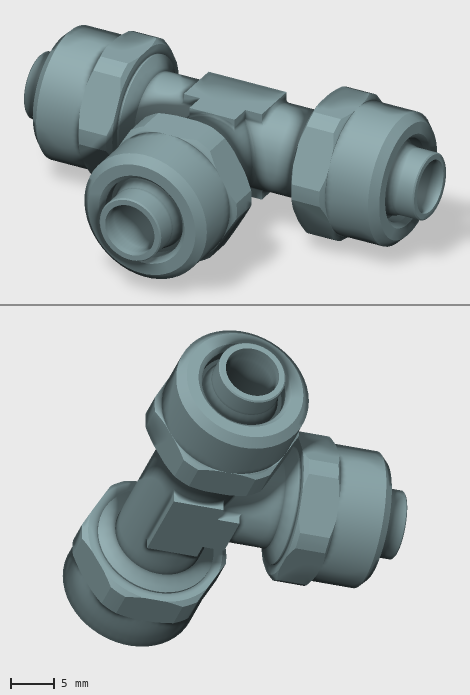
import cadquery as cq
arm_length = 25.5
bore_radius = 3.2

pipe_radius = 5.25
pad_height = 5.6
pad_half_width = 5.1
pad_back = 3.05
pad_stem_end = -5.55
pad_stem_half_width = 2.95
pad_shoulder = -pad_stem_half_width
blend_radius = 0.3

collar_start = 10.35
collar_edge = 11.4
collar_radius = 7.0

nut_start = 11.7
hex_end = 16.15
hex_across_flats = 16.0
hex_corner_radius = 8.7
hex_chamfer_radius = 8.1
hex_chamfer_length = 0.45
flats_up_angle = 30
sleeve_radius = hex_across_flats / 2
sleeve_end = 22.65
sleeve_chamfer = 0.95

recess_floor = 20.6
recess_mouth_radius = 5.6
recess_radius = 5.05
mouth_chamfer = recess_mouth_radius - recess_radius
barb_root_radius = 4.6
spigot_radius = 4.05
spigot_chamfer = 0.15


def turned(points):
    """Revolve an (axial position, radius) outline about the X axis."""
    return cq.Workplane("XY").polyline(points).close().revolve(360, (0, 0, 0), (1, 0, 0))


def along_run_and_branch(arm):
    """Copies of an arm along +X, -X and -Y."""
    return [arm.rotate((0, 0, 0), (0, 0, 1), angle) for angle in (0, 180, -90)]


def make_pad():
    """T-shaped block reaching from the lower pad face to the upper one."""
    return (
        cq.Workplane("XY")
        .moveTo(-pad_half_width, pad_back)
        .lineTo(pad_half_width, pad_back)
        .lineTo(pad_half_width, pad_shoulder)
        .lineTo(pad_stem_half_width, pad_shoulder)
        .lineTo(pad_stem_half_width, pad_stem_end)
        .lineTo(-pad_stem_half_width, pad_stem_end)
        .lineTo(-pad_stem_half_width, pad_shoulder)
        .lineTo(-pad_half_width, pad_shoulder)
        .close()
        .extrude(pad_height, both=True)
    )


def make_body():
    """Run and branch pipes with the two pads, blended where they meet."""
    run = cq.Workplane("YZ").circle(pipe_radius).extrude(collar_start, both=True)
    branch = cq.Workplane("XZ").circle(pipe_radius).extrude(collar_start)
    body = run.union(branch).union(make_pad())
    reach = pad_half_width + blend_radius
    junction = cq.selectors.BoxSelector(
        (-reach, pad_stem_end - blend_radius, -pipe_radius),
        (reach, pad_back + blend_radius, pipe_radius),
    )
    upright_edges = cq.selectors.ParallelDirSelector(cq.Vector(0, 0, 1))
    return body.edges(junction - upright_edges).fillet(blend_radius)


def make_hexagon():
    """Hexagon with flats facing +Z and -Z and its corners turned down."""
    prism = (
        cq.Workplane("YZ", origin=(nut_start, 0, 0))
        .transformed(rotate=(0, 0, flats_up_angle))
        .polygon(6, hex_across_flats, circumscribed=True)
        .extrude(hex_end - nut_start)
    )
    envelope = turned([
        (nut_start, 0),
        (nut_start, hex_chamfer_radius),
        (nut_start + hex_chamfer_length, hex_corner_radius),
        (hex_end - hex_chamfer_length, hex_corner_radius),
        (hex_end, hex_chamfer_radius),
        (hex_end, 0),
    ])
    return prism.intersect(envelope)


def make_arm():
    """Collar, nut and spigot of one arm, along +X."""
    fitting = turned([
        (collar_start, 0),
        (collar_start, pipe_radius),
        (collar_edge, collar_radius),
        (nut_start, collar_radius),
        (hex_end, collar_radius),
        (hex_end, sleeve_radius),
        (sleeve_end - sleeve_chamfer, sleeve_radius),
        (sleeve_end, sleeve_radius - sleeve_chamfer),
        (sleeve_end, recess_mouth_radius),
        (sleeve_end - mouth_chamfer, recess_radius),
        (recess_floor, recess_radius),
        (recess_floor, barb_root_radius),
        (sleeve_end, spigot_radius),
        (arm_length - spigot_chamfer, spigot_radius),
        (arm_length, spigot_radius - spigot_chamfer),
        (arm_length, 0),
    ])
    return fitting.union(make_hexagon())


def make_bore():
    """Bore of one arm, from the tee centre out through the spigot."""
    return cq.Workplane("YZ").circle(bore_radius).extrude(arm_length)


result = make_body()
for arm in along_run_and_branch(make_arm()):
    result = result.union(arm)
for bore in along_run_and_branch(make_bore()):
    result = result.cut(bore)